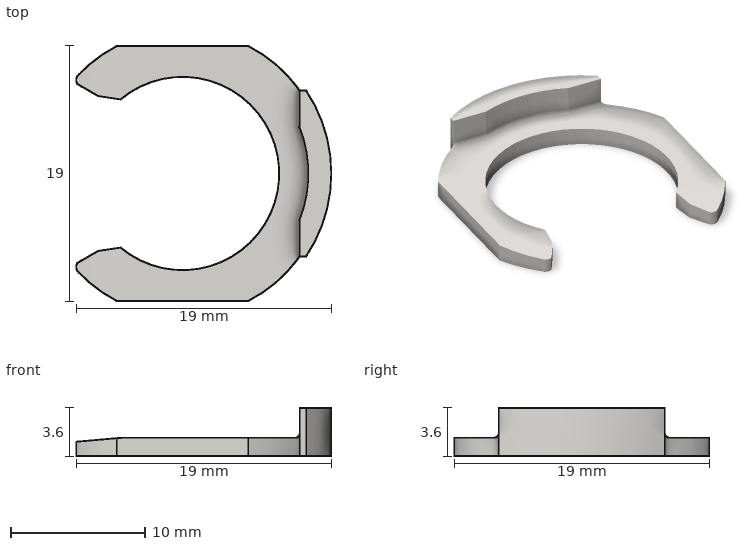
import cadquery as cq
import math

bore_radius = 7.19
ring_radius = 10.69
width = 19.0
thickness = 1.37
height = 3.6

wall_outer_radius = 11.09
wall_relief_radius = 9.38
wall_face_x = 8.71
root_fillet = 0.3

overall_length = 19.02
tip_x = wall_outer_radius - overall_length
tip_round_x = -7.84
tip_inner_y = 6.65
heel_x = -6.3
heel_y = 5.76
taper_x = -4.62
taper_angle = 5.0


def height_on_circle(radius, x):
    """Positive Y of the point at x on a circle about the origin."""
    return math.sqrt(radius**2 - x**2)


def disc(radius, depth):
    return cq.Workplane("XY").circle(radius).extrude(depth)


def block(start_x, end_x, length, depth):
    """Block standing on Z = 0 and centred in Y."""
    box = cq.Workplane("XY").box(end_x - start_x, length, depth, centered=(False, True, False))
    return box.translate((start_x, 0, 0))


def ring_plate():
    half_width = width / 2
    flat_end_x = height_on_circle(ring_radius, half_width)
    tip_outer_y = height_on_circle(ring_radius, tip_round_x)
    tip_y = (tip_inner_y + tip_outer_y) / 2
    shoulder_x = (tip_round_x - flat_end_x) / 2
    shoulder_y = height_on_circle(ring_radius, shoulder_x)
    mouth_y = height_on_circle(bore_radius, taper_x)
    return (
        cq.Workplane("XY")
        .moveTo(taper_x, mouth_y)
        .lineTo(heel_x, heel_y)
        .lineTo(tip_round_x, tip_inner_y)
        .threePointArc((tip_x, tip_y), (tip_round_x, tip_outer_y))
        .threePointArc((shoulder_x, shoulder_y), (-flat_end_x, half_width))
        .lineTo(flat_end_x, half_width)
        .threePointArc((ring_radius, 0), (flat_end_x, -half_width))
        .lineTo(-flat_end_x, -half_width)
        .threePointArc((shoulder_x, -shoulder_y), (tip_round_x, -tip_outer_y))
        .threePointArc((tip_x, -tip_y), (tip_round_x, -tip_inner_y))
        .lineTo(heel_x, -heel_y)
        .lineTo(taper_x, -mouth_y)
        .threePointArc((bore_radius, 0), (taper_x, mouth_y))
        .close()
        .extrude(thickness)
    )


def tip_taper_cutter():
    """Wedge above the sloping tops of both tips."""
    run = taper_x - tip_x
    drop = run * math.tan(math.radians(taper_angle))
    return (
        cq.Workplane("XZ")
        .polyline([
            (taper_x, thickness),
            (taper_x - run, thickness),
            (taper_x - run, thickness - drop),
        ])
        .close()
        .extrude(width / 2, both=True)
    )


def wall():
    wall_length = 2 * height_on_circle(ring_radius, wall_face_x)
    blank = block(wall_face_x, wall_outer_radius, wall_length, height)
    return blank.intersect(disc(wall_outer_radius, height)).cut(disc(wall_relief_radius, height))


def root_blend():
    """Concave strip along the foot of the wall, trimmed to the ring's outer edge."""
    inner_x = bore_radius
    slab = block(inner_x, wall_outer_radius, width, thickness)
    upright = block(wall_face_x, wall_outer_radius, width, height).cut(disc(wall_relief_radius, height))
    foot_end_x = wall_relief_radius + root_fillet
    foot = cq.selectors.BoxSelector(
        (wall_face_x - root_fillet, -width, thickness - root_fillet / 2),
        (foot_end_x, width, thickness + root_fillet / 2),
    )
    filleted = slab.union(upright).edges(foot).fillet(root_fillet)
    behind_face = block(inner_x, wall_face_x, width, height)
    strip_area = behind_face.union(disc(wall_relief_radius, height))
    return filleted.intersect(strip_area).intersect(disc(ring_radius, height))


result = ring_plate().cut(tip_taper_cutter()).union(wall()).union(root_blend())